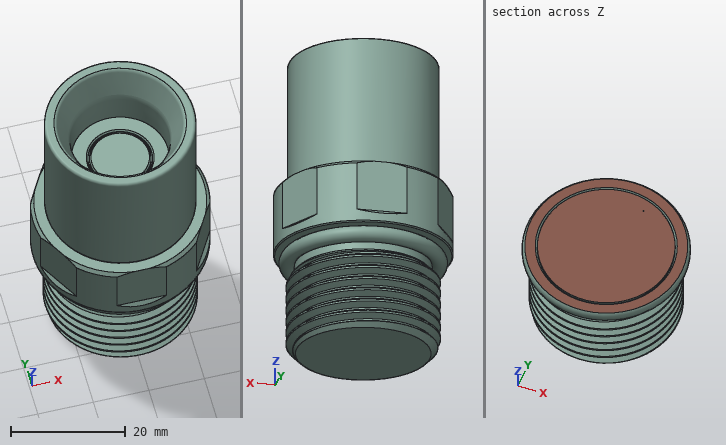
import cadquery as cq
import math

total_height = 54.3

thread_radius = 27.0 / 2
thread_root_radius = 24.5 / 2
thread_pitch = 2.1
thread_start_height = 14.6
thread_top = 14.75
spigot_seam_angle = 225
thread_flank_angle = 30.0
groove_root_width = 0.3
cutter_clearance = 0.15
tip_radius = 11.85

neck_radius = 12.05
ring_outer_radius = 14.7
ring_section_radius = 1.4
ring_squeeze = 0.05

collar_radius = 15.7
collar_bottom = 18.45
collar_top = 30.15
collar_top_chamfer = 0.6
collar_bottom_chamfer = 0.2
flat_count = 6
flat_distance = 15.05
flat_bottom = 20.8

tube_radius = 13.25
tube_rim_round = 0.55
tube_foot_relief = 0.1
tube_foot_relief_height = 0.3

mouth_radius = 11.55
mouth_depth = 0.5
mouth_inner_radius = 22.0 / 2
taper_end_radius = 9.0
taper_end_depth = 4.5
bore_radius = 17.55 / 2
throat_depth = 5.55
floor_radius = 8.5
floor_depth = 10.65

groove_inner_radius = 5.4
groove_outer_radius = 5.65
groove_edge_flare = 0.25
groove_depth = 0.65


def revolve_profile(profile):
    """Turn a closed radius-height profile about the Z axis."""
    return profile.close().revolve(360, (0, 0, 0), (0, 1, 0))


def make_spigot():
    """Spigot and neck as solid turned stock, with 45 degree lead-ins at both ends of the thread."""
    lead_height = thread_radius - tip_radius
    top_slope = thread_radius - neck_radius
    profile = (
        cq.Workplane("XZ")
        .lineTo(tip_radius, 0)
        .lineTo(thread_radius, lead_height)
        .lineTo(thread_radius, thread_top - top_slope)
        .lineTo(neck_radius, thread_top)
        .lineTo(neck_radius, collar_bottom + collar_bottom_chamfer)
        .lineTo(0, collar_bottom + collar_bottom_chamfer)
    )
    return revolve_profile(profile).rotate((0, 0, 0), (0, 0, 1), spigot_seam_angle)


def make_thread_cutter():
    """Right-handed V groove that starts on the -X side and runs out through the bottom."""
    turns = math.ceil(thread_start_height / thread_pitch) + 0.5
    helix_height = turns * thread_pitch
    helix_bottom = thread_start_height - helix_height
    outer_radius = thread_radius + cutter_clearance
    root_half = groove_root_width / 2
    flank_rise = (outer_radius - thread_root_radius) * math.tan(math.radians(thread_flank_angle))
    outer_half = root_half + flank_rise
    path = cq.Wire.makeHelix(thread_pitch, helix_height, thread_root_radius, cq.Vector(0, 0, helix_bottom))
    section = (
        cq.Workplane("XZ")
        .moveTo(thread_root_radius, helix_bottom - root_half)
        .lineTo(outer_radius, helix_bottom - outer_half)
        .lineTo(outer_radius, helix_bottom + outer_half)
        .lineTo(thread_root_radius, helix_bottom + root_half)
        .close()
    )
    return section.sweep(cq.Workplane(path), isFrenet=True)


def make_sealing_ring():
    """O-ring against the collar; its section starts on the inside so the seam is buried in the neck."""
    centre_radius = ring_outer_radius - ring_section_radius
    centre_height = collar_bottom + ring_squeeze - ring_section_radius
    section_plane = cq.Plane(origin=(0, 0, 0), xDir=(-1, 0, 0), normal=(0, 1, 0))
    return (
        cq.Workplane(section_plane)
        .moveTo(-centre_radius, centre_height)
        .circle(ring_section_radius)
        .revolve(360, (0, 0, 0), (0, 1, 0))
    )


def make_collar():
    """Round collar with six wrench flats, one of them facing -Y."""
    collar = cq.Workplane("XY").workplane(offset=collar_bottom).circle(collar_radius)
    collar = collar.extrude(collar_top - collar_bottom)
    collar = collar.faces(">Z").chamfer(collar_top_chamfer)
    collar = collar.faces("<Z").chamfer(collar_bottom_chamfer)
    for index in range(flat_count):
        collar = collar.cut(make_flat_cutter().rotate((0, 0, 0), (0, 0, 1), index * 360 / flat_count))
    return collar


def make_flat_cutter():
    """Wedge beyond a wrench flat on the +Y side, with a 45 degree run-out at its foot."""
    reach = 2 * (collar_radius - flat_distance)
    return (
        cq.Workplane("YZ")
        .moveTo(flat_distance, flat_bottom)
        .lineTo(flat_distance + reach, flat_bottom - reach)
        .lineTo(flat_distance + reach, total_height)
        .lineTo(flat_distance, total_height)
        .close()
        .extrude(collar_radius, both=True)
    )


def make_tube():
    """Tube with a rounded rim and a slight taper where it meets the collar."""
    profile = (
        cq.Workplane("XZ")
        .moveTo(0, collar_top)
        .lineTo(tube_radius - tube_foot_relief, collar_top)
        .lineTo(tube_radius, collar_top + tube_foot_relief_height)
        .lineTo(tube_radius, total_height)
        .lineTo(0, total_height)
    )
    return revolve_profile(profile).faces(">Z").edges().fillet(tube_rim_round)


def make_bore():
    """Drafted bore that opens through a rounded throat into a taper with a rounded mouth."""
    top = total_height
    profile = (
        cq.Workplane("XZ")
        .moveTo(0, top - floor_depth)
        .lineTo(floor_radius, top - floor_depth)
        .lineTo(bore_radius, top - throat_depth)
        .tangentArcPoint((taper_end_radius, top - taper_end_depth), relative=False)
        .lineTo(mouth_inner_radius, top - mouth_depth)
        .tangentArcPoint((mouth_radius, top), relative=False)
        .lineTo(0, top)
    )
    return revolve_profile(profile)


def make_floor_groove():
    """Narrow ring groove with 45 degree flared edges that sets off the central disc."""
    floor = total_height - floor_depth
    profile = (
        cq.Workplane("XZ")
        .moveTo(groove_inner_radius - groove_edge_flare, floor)
        .lineTo(groove_inner_radius, floor - groove_edge_flare)
        .lineTo(groove_inner_radius, floor - groove_depth)
        .lineTo(groove_outer_radius, floor - groove_depth)
        .lineTo(groove_outer_radius, floor - groove_edge_flare)
        .lineTo(groove_outer_radius + groove_edge_flare, floor)
    )
    return revolve_profile(profile)


spigot = make_spigot().cut(make_thread_cutter())
body = spigot.union(make_sealing_ring()).union(make_collar()).union(make_tube())
result = body.cut(make_bore()).cut(make_floor_groove())